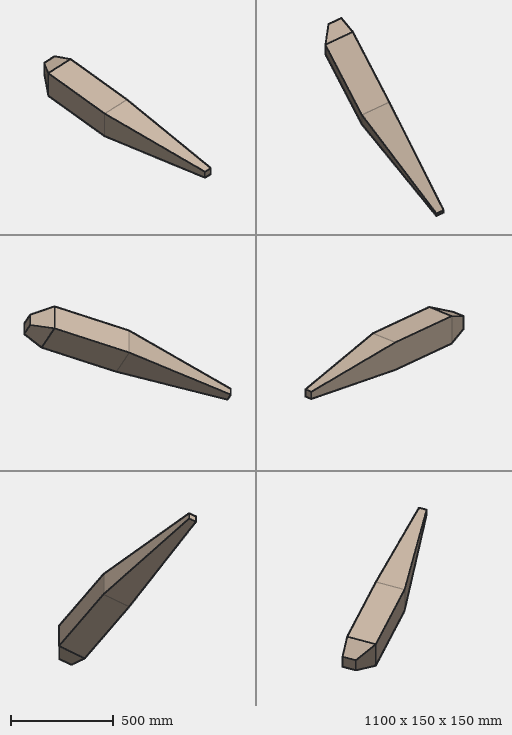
import cadquery as cq

total_length = 1100.0
nose_length = 100.0
body_length = 400.0
tail_length = total_length - nose_length - body_length

body_side = 150.0
nose_side = 70.0
tail_side = 40.0

nose_inset = 13.0
nose_offset = (body_side - nose_side) / 2 - nose_inset
tail_offset = (body_side - tail_side) / 2


def tapered_end(body_face, length, end_side, end_offset):
    """Loft from a body end face to a smaller square shifted along Y."""
    return (
        body_face.workplane()
        .rect(body_side, body_side)
        .workplane(offset=length)
        .center(end_offset, 0)
        .rect(end_side, end_side)
        .loft(ruled=True, combine=False)
    )


body = cq.Workplane("XY").box(body_length, body_side, body_side)

nose = tapered_end(body.faces("<X"), nose_length, nose_side, -nose_offset)
tail = tapered_end(body.faces(">X"), tail_length, tail_side, tail_offset)

result = body.union(nose).union(tail)